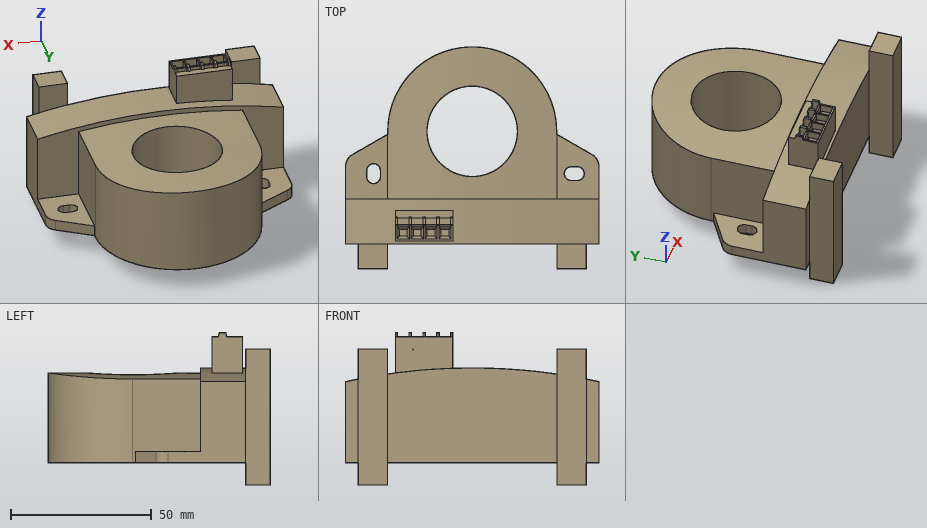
import cadquery as cq
import math

ring_radius = 30.0
bore_radius = 16.0

block_width = 90.0
block_back_y = -24.0
block_depth = 16.0
block_front_y = block_back_y - block_depth
block_crown_z = 33.7
block_end_z = 28.8
ring_crown_z = 31.9

crown_drop = block_crown_z - block_end_z
crown_radius = ((block_width / 2) ** 2 + crown_drop**2) / (2 * crown_drop)

flange_thickness = 4.0
flange_back_y = -1.0
flange_slope = math.radians(30)
flange_corner_radius = 5.0
mount_slot_length = 7.0
mount_slot_width = 4.8
mount_slot_y = -15.0
lengthwise_slot_x = -35.0
crosswise_slot_x = 36.2

post_width = 10.5
post_depth = 8.8
post_inner_x = ring_radius
post_bottom_z = -7.9
post_top_z = 40.4

connector_width = 20.4
connector_depth = 10.9
connector_center_x = -17.1
connector_back_y = -28.05
connector_front_y = connector_back_y - connector_depth
connector_seat_z = block_end_z
fin_height = 1.4
fin_top_z = 46.19
connector_top_z = fin_top_z - fin_height

pole_count = 4
pole_pitch = 4.95
pole_xs = [connector_center_x + (i - (pole_count - 1) / 2) * pole_pitch for i in range(pole_count)]

fin_center_y = -31.85
fin_base_depth = 3.1
fin_top_depth = 2.3
pocket_width = 4.05
pocket_length = 2.2
pocket_depth = 3.0

funnel_center_y = -35.95
funnel_width = 4.4
funnel_length = 4.6
funnel_floor_width = 2.7
funnel_floor_length = 2.2
mouth_depth = 2.8
funnel_depth = 2.0


def box(x_min, x_max, y_min, y_max, z_min, z_max):
    size = (x_max - x_min, y_max - y_min, z_max - z_min)
    return cq.Workplane("XY").box(*size, centered=False).translate((x_min, y_min, z_min))


def crowned_slab(half_width, y_min, y_max, crown_z):
    """Slab from Z = 0 up to a cylindrical crown that peaks at X = 0."""
    edge_z = crown_z - crown_radius + math.sqrt(crown_radius**2 - half_width**2)
    return (
        cq.Workplane("XZ", origin=(0, y_max, 0))
        .moveTo(-half_width, 0)
        .lineTo(half_width, 0)
        .lineTo(half_width, edge_z)
        .threePointArc((0, crown_z), (-half_width, edge_z))
        .close()
        .extrude(y_max - y_min)
    )


def make_ring():
    outline = (
        cq.Workplane("XY")
        .moveTo(-ring_radius, block_back_y)
        .lineTo(ring_radius, block_back_y)
        .lineTo(ring_radius, 0)
        .threePointArc((0, ring_radius), (-ring_radius, 0))
        .close()
        .extrude(ring_crown_z)
    )
    return outline.intersect(crowned_slab(ring_radius, block_back_y, ring_radius, ring_crown_z))


def make_flanges():
    half_width = block_width / 2
    outer_y = flange_back_y - (half_width - ring_radius) * math.tan(flange_slope)
    plate = (
        cq.Workplane("XY")
        .polyline(
            [
                (-half_width, block_back_y),
                (half_width, block_back_y),
                (half_width, outer_y),
                (ring_radius, flange_back_y),
                (-ring_radius, flange_back_y),
                (-half_width, outer_y),
            ]
        )
        .close()
        .extrude(flange_thickness)
    )
    for side_edges in ("|Z and <X", "|Z and >X"):
        plate = plate.edges(side_edges).edges(">Y").fillet(flange_corner_radius)
    for slot_x, angle in ((lengthwise_slot_x, 90), (crosswise_slot_x, 0)):
        slot = (
            cq.Workplane("XY")
            .center(slot_x, mount_slot_y)
            .slot2D(mount_slot_length, mount_slot_width, angle)
            .extrude(flange_thickness)
        )
        plate = plate.cut(slot)
    return plate


def make_post(side):
    center_x = side * (post_inner_x + post_width / 2)
    return box(
        center_x - post_width / 2,
        center_x + post_width / 2,
        block_front_y - post_depth,
        block_front_y,
        post_bottom_z,
        post_top_z,
    )


def make_fin_rail():
    """Tapered rail across the connector; the pockets split it into fins."""
    base_half = fin_base_depth / 2
    top_half = fin_top_depth / 2
    return (
        cq.Workplane("YZ", origin=(connector_center_x - connector_width / 2, fin_center_y, connector_top_z))
        .polyline(
            [
                (-base_half, 0),
                (base_half, 0),
                (top_half, fin_height),
                (-top_half, fin_height),
            ]
        )
        .close()
        .extrude(connector_width)
    )


def make_pole_recess(pole_x):
    """Gap in the fin rail, pocket below it and wire opening of one pole."""
    fin_gap = box(
        pole_x - pocket_width / 2,
        pole_x + pocket_width / 2,
        fin_center_y - fin_base_depth / 2,
        fin_center_y + fin_base_depth / 2,
        connector_top_z,
        fin_top_z,
    )
    pocket = box(
        pole_x - pocket_width / 2,
        pole_x + pocket_width / 2,
        fin_center_y - pocket_length / 2,
        fin_center_y + pocket_length / 2,
        connector_top_z - pocket_depth,
        connector_top_z,
    )
    mouth = box(
        pole_x - funnel_width / 2,
        pole_x + funnel_width / 2,
        funnel_center_y - funnel_length / 2,
        funnel_center_y + funnel_length / 2,
        connector_top_z - mouth_depth,
        connector_top_z,
    )
    funnel = (
        cq.Workplane("XY", origin=(pole_x, funnel_center_y, connector_top_z - mouth_depth))
        .rect(funnel_width, funnel_length)
        .workplane(offset=-funnel_depth)
        .rect(funnel_floor_width, funnel_floor_length)
        .loft(ruled=True)
    )
    return fin_gap.union(pocket).union(mouth.union(funnel))


def make_connector():
    connector = box(
        connector_center_x - connector_width / 2,
        connector_center_x + connector_width / 2,
        connector_front_y,
        connector_back_y,
        connector_seat_z,
        connector_top_z,
    ).union(make_fin_rail())
    for pole_x in pole_xs:
        connector = connector.cut(make_pole_recess(pole_x))
    return connector


body = crowned_slab(block_width / 2, block_front_y, block_back_y, block_crown_z)
body = body.union(make_flanges()).union(make_ring())
body = body.cut(cq.Workplane("XY").circle(bore_radius).extrude(block_crown_z))
for side in (-1, 1):
    body = body.union(make_post(side))
result = body.union(make_connector())